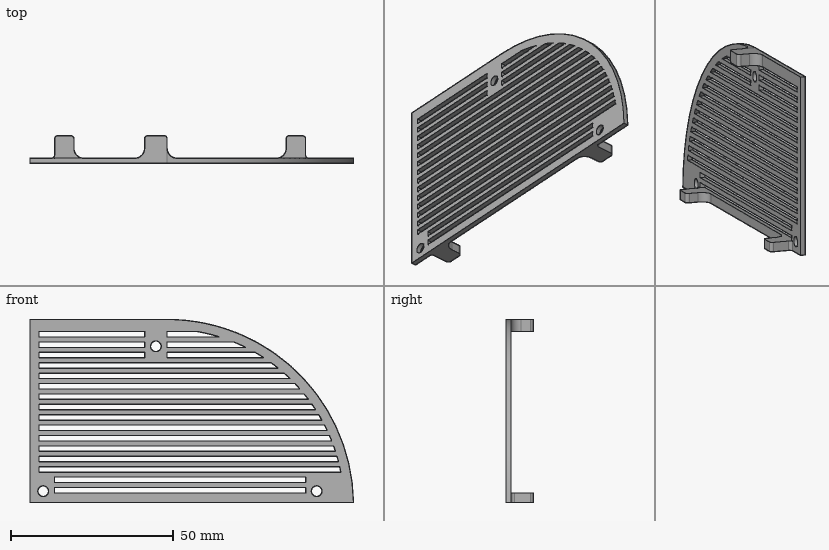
import cadquery as cq
import math

WIDTH = 99.69
HEIGHT = 56.4
THICKNESS = 1.6
DEPTH = 8.55

ARC_START_X = 42.3
ARC_RUN = WIDTH - ARC_START_X
ARC_RADIUS = (ARC_RUN**2 + HEIGHT**2) / (2 * HEIGHT)
ARC_CENTER_Z = HEIGHT - ARC_RADIUS

SLOT_COUNT = 16
SLOT_PITCH = 3.2
SLOT_HEIGHT = 1.6
FIRST_SLOT_Z = 3.0
SIDE_MARGIN = 2.85
ARC_MARGIN = 3.0
SHORT_SLOT_COUNT = 2
SPLIT_SLOT_COUNT = 3
SHORT_SLOT_LEFT = 7.6
SHORT_SLOT_RIGHT = 84.9
BRIDGE_WIDTH = 7.0
BRIDGE_LEFT = ARC_START_X - BRIDGE_WIDTH
BRIDGE_CENTER_X = BRIDGE_LEFT + BRIDGE_WIDTH / 2
TOP_SLOT_UPPER_EDGE = FIRST_SLOT_Z + (SLOT_COUNT - 1) * SLOT_PITCH + SLOT_HEIGHT

HOLE_DIAMETER = 3.2
LOWER_HOLE_Z = 3.5
UPPER_HOLE_Z = 48.1
LEFT_HOLE_X = 4.1
RIGHT_HOLE_X = 88.3

LOWER_LUG_WIDTH = 6.0
LOWER_LUG_HEIGHT = FIRST_SLOT_Z
UPPER_LUG_HEIGHT = HEIGHT - TOP_SLOT_UPPER_EDGE
LUG_TIP_RADIUS = 1.0
WIDE_ROOT_RADIUS = 3.0
NARROW_ROOT_RADIUS = 1.0


def box(x_min, x_max, z_min, z_max):
    """Block through the plate thickness between the given X and Z limits."""
    return cq.Workplane("XY").box(
        x_max - x_min, THICKNESS, z_max - z_min, centered=False
    ).translate((x_min, 0, z_min))


def rounded_panel(left, bottom, margin, depth):
    """Plate outline, its top and curved edges moved inward by the margin, extruded to the depth."""
    radius = ARC_RADIUS - margin
    end_x = ARC_START_X + math.sqrt(radius**2 - (bottom - ARC_CENTER_Z) ** 2)
    end_angle = math.atan2(bottom - ARC_CENTER_Z, end_x - ARC_START_X)
    middle_angle = (math.pi / 2 + end_angle) / 2
    middle = (
        ARC_START_X + radius * math.cos(middle_angle),
        ARC_CENTER_Z + radius * math.sin(middle_angle),
    )
    return (
        cq.Workplane("XZ")
        .moveTo(left, bottom)
        .lineTo(left, HEIGHT - margin)
        .lineTo(ARC_START_X, HEIGHT - margin)
        .threePointArc(middle, (end_x, bottom))
        .close()
        .extrude(-depth)
    )


def slot_cutter(index):
    """Cutter for one row of slots."""
    z_min = FIRST_SLOT_Z + index * SLOT_PITCH
    z_max = z_min + SLOT_HEIGHT
    if index < SHORT_SLOT_COUNT:
        return box(SHORT_SLOT_LEFT, SHORT_SLOT_RIGHT, z_min, z_max)
    slot_area = rounded_panel(SIDE_MARGIN, FIRST_SLOT_Z, ARC_MARGIN, THICKNESS)
    slot = box(0, WIDTH, z_min, z_max).intersect(slot_area)
    if index >= SLOT_COUNT - SPLIT_SLOT_COUNT:
        slot = slot.cut(box(BRIDGE_LEFT, ARC_START_X, z_min, z_max))
    return slot


def hole_cutter(x, z):
    """Screw hole through the plate."""
    return cq.Workplane("XZ").center(x, z).circle(HOLE_DIAMETER / 2).extrude(-THICKNESS)


def lug(x_min, x_max, z_min, height, left_root, right_root):
    """Lug with a rounded tip and a concave root fillet on each side."""
    tip = LUG_TIP_RADIUS
    profile = (
        cq.Workplane("XY", origin=(0, 0, z_min))
        .moveTo(x_min - left_root, 0)
        .lineTo(x_min - left_root, THICKNESS)
        .radiusArc((x_min, THICKNESS + left_root), -left_root)
        .lineTo(x_min, DEPTH - tip)
        .radiusArc((x_min + tip, DEPTH), tip)
        .lineTo(x_max - tip, DEPTH)
        .radiusArc((x_max, DEPTH - tip), tip)
        .lineTo(x_max, THICKNESS + right_root)
        .radiusArc((x_max + right_root, THICKNESS), -right_root)
        .lineTo(x_max + right_root, 0)
        .close()
    )
    return profile.extrude(height)


plate = rounded_panel(0, 0, 0, THICKNESS)

left_lug = lug(
    SHORT_SLOT_LEFT, SHORT_SLOT_LEFT + LOWER_LUG_WIDTH, 0, LOWER_LUG_HEIGHT,
    NARROW_ROOT_RADIUS, WIDE_ROOT_RADIUS,
)
right_lug = lug(
    SHORT_SLOT_RIGHT - LOWER_LUG_WIDTH, SHORT_SLOT_RIGHT, 0, LOWER_LUG_HEIGHT,
    WIDE_ROOT_RADIUS, NARROW_ROOT_RADIUS,
)
upper_lug = lug(
    BRIDGE_LEFT, ARC_START_X, TOP_SLOT_UPPER_EDGE, UPPER_LUG_HEIGHT,
    WIDE_ROOT_RADIUS, WIDE_ROOT_RADIUS,
)
upper_lug = upper_lug.intersect(rounded_panel(0, 0, 0, DEPTH))
result = plate.union(left_lug).union(right_lug).union(upper_lug)

for slot_index in range(SLOT_COUNT):
    result = result.cut(slot_cutter(slot_index))

for hole_x, hole_z in (
    (LEFT_HOLE_X, LOWER_HOLE_Z),
    (RIGHT_HOLE_X, LOWER_HOLE_Z),
    (BRIDGE_CENTER_X, UPPER_HOLE_Z),
):
    result = result.cut(hole_cutter(hole_x, hole_z))